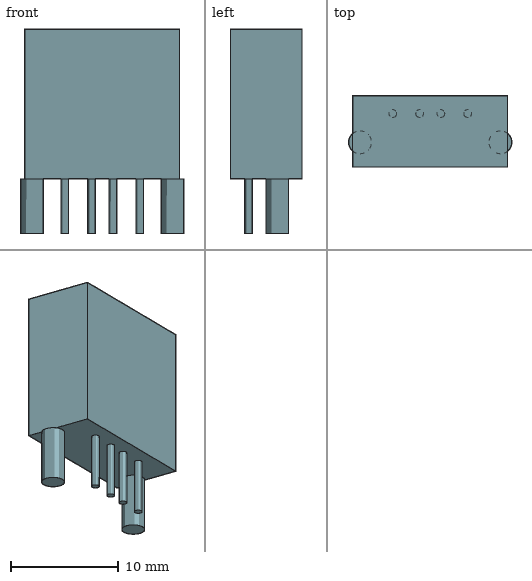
import cadquery as cq

HOUSING_WIDTH = 14.48
HOUSING_DEPTH = 6.68
HOUSING_HEIGHT = 14.0

OVERALL_HEIGHT = 19.1
LEG_LENGTH = OVERALL_HEIGHT - HOUSING_HEIGHT

POST_DIAMETER = 2.14
POST_SPAN = 15.26
POST_X = (POST_SPAN - POST_DIAMETER) / 2
POST_Y = -1.03

PIN_DIAMETER = 0.73
INNER_PIN_X = 1.0
OUTER_PIN_X = 3.5
PIN_Y = 1.66


def make_housing():
    """Plain block standing on Z = 0, centred in X and Y."""
    return cq.Workplane("XY").box(
        HOUSING_WIDTH, HOUSING_DEPTH, HOUSING_HEIGHT, centered=(True, True, False)
    )


def make_leg(diameter, x, y):
    """Round leg that runs down from the underside of the housing."""
    return cq.Workplane("XY").center(x, y).circle(diameter / 2).extrude(-LEG_LENGTH)


def make_post(x):
    return make_leg(POST_DIAMETER, x, POST_Y)


def make_pin(x):
    return make_leg(PIN_DIAMETER, x, PIN_Y)


housing = make_housing()
posts = [make_post(x) for x in (-POST_X, POST_X)]
pins = [make_pin(x) for x in (-OUTER_PIN_X, -INNER_PIN_X, INNER_PIN_X, OUTER_PIN_X)]

result = cq.Compound.makeCompound(
    [housing.val(), *[post.val() for post in posts], *[pin.val() for pin in pins]]
)